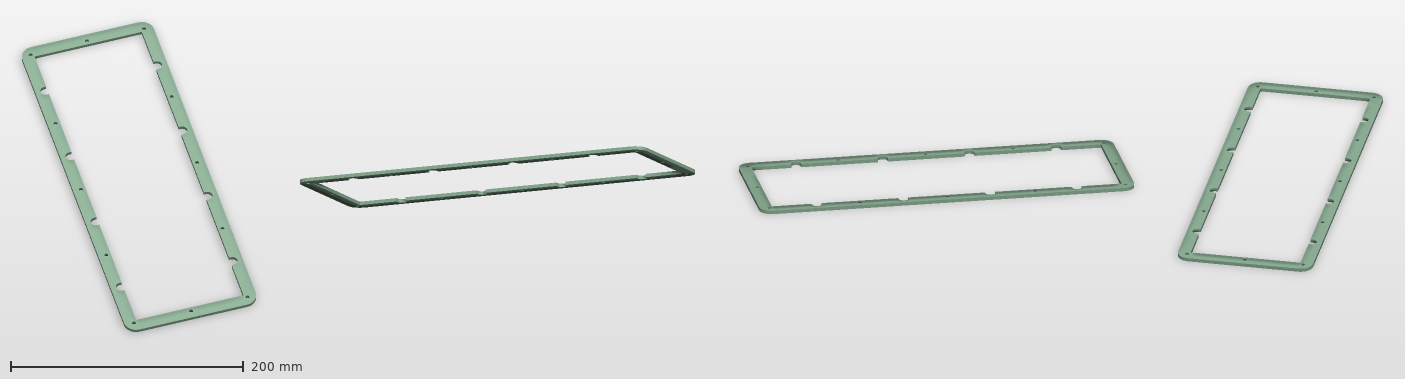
import cadquery as cq

length = 327.85
width = 118.3
thickness = 3.0
border = 11.0
corner_radius = border

hole_diameter = 3.3
edge_hole_inset = 7.0
edge_hole_pitch = 76.5
edge_holes_per_side = 3
corner_hole_inset = 8.2

notch_width = 8.6
notch_depth = 6.3
notch_pitch = 75.8
notches_per_side = 4

window_length = length - 2 * border
window_width = width - 2 * border


def centred_positions(count, pitch):
    """Evenly spaced coordinates, symmetric about zero."""
    return [(index - (count - 1) / 2) * pitch for index in range(count)]


def make_frame():
    """Flat plate with rounded corners and a sharp-cornered rectangular window."""
    plate = cq.Workplane("XY").rect(length, width).extrude(thickness)
    plate = plate.edges("|Z").fillet(corner_radius)
    window = cq.Workplane("XY").rect(window_length, window_width).extrude(thickness)
    return plate.cut(window)


def make_notches():
    """Slots across the window, each rounded at both ends to form two facing notches."""
    centres = [(x, 0) for x in centred_positions(notches_per_side, notch_pitch)]
    slot_length = window_width + 2 * notch_depth
    return cq.Workplane("XY").pushPoints(centres).slot2D(slot_length, notch_width, 90).extrude(thickness)


def make_screw_holes():
    """Holes along the long sides, at the middle of the short sides and in the corners."""
    side_x = length / 2 - edge_hole_inset
    side_y = width / 2 - edge_hole_inset
    corner_x = length / 2 - corner_hole_inset
    corner_y = width / 2 - corner_hole_inset
    centres = []
    for sign in (-1, 1):
        centres += [(x, sign * side_y) for x in centred_positions(edge_holes_per_side, edge_hole_pitch)]
        centres.append((sign * side_x, 0))
        centres += [(sign * corner_x, -corner_y), (sign * corner_x, corner_y)]
    return cq.Workplane("XY").pushPoints(centres).circle(hole_diameter / 2).extrude(thickness)


result = make_frame().cut(make_notches()).cut(make_screw_holes())